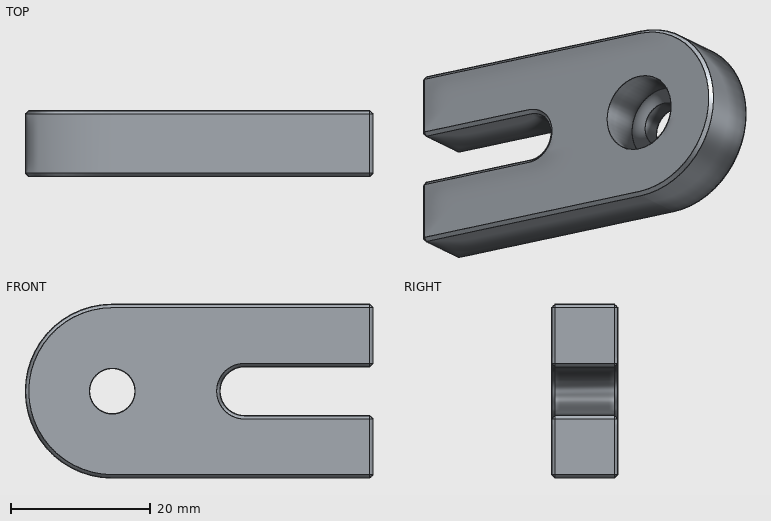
import cadquery as cq

length = 50.0
thickness = 9.5
height = 25.0
end_radius = height / 2
edge_chamfer = 0.5

hole_diameter = 6.5
hole_depth = 3.0
counterbore_diameter = 11.0

slot_width = 7.0
slot_radius = slot_width / 2
slot_center_x = 31.5


def make_fork_plate():
    """Plate with one rounded end and a slot open at the other end, chamfered all round."""
    profile = (
        cq.Workplane("XZ")
        .moveTo(end_radius, -end_radius)
        .lineTo(length, -end_radius)
        .lineTo(length, -slot_radius)
        .lineTo(slot_center_x, -slot_radius)
        .threePointArc((slot_center_x - slot_radius, 0), (slot_center_x, slot_radius))
        .lineTo(length, slot_radius)
        .lineTo(length, end_radius)
        .lineTo(end_radius, end_radius)
        .threePointArc((0, 0), (end_radius, -end_radius))
        .close()
    )
    plate = profile.extrude(thickness / 2, both=True)
    return plate.faces("<Y or >Y or >X").edges().chamfer(edge_chamfer)


def make_bore(diameter, start_y, end_y):
    """Cylinder along Y on the axis of the rounded end."""
    bore_plane = cq.Plane(origin=(end_radius, start_y, 0), xDir=(0, 0, -1), normal=(0, 1, 0))
    return cq.Workplane(bore_plane).circle(diameter / 2).extrude(end_y - start_y)


front_y = -thickness / 2
back_y = thickness / 2
step_y = front_y + hole_depth

hole = make_bore(hole_diameter, front_y, step_y)
counterbore = make_bore(counterbore_diameter, step_y, back_y)
result = make_fork_plate().cut(hole).cut(counterbore)